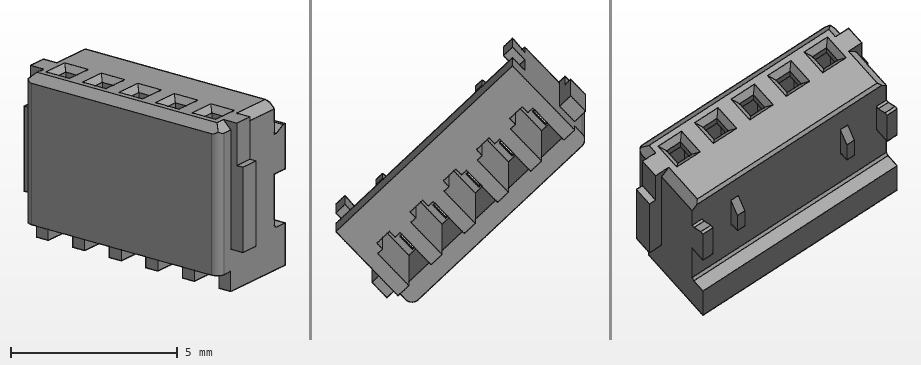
import cadquery as cq
import math

EPS = 0.04

body_width = 7.325
body_depth = 2.76
height = 5.49
top_chamfer = 0.27
back_top_chamfer = 0.1
corner_radius = 0.27
half_width = body_width / 2

front_step_depth = 0.59
front_step_height = 0.65

overall_depth = 3.3
foot_height = 1.37
root_chamfer = 0.08
latch_width = 0.38
latch_bottom = 3.11
latch_top = 4.57
latch_valley = 4.39
latch_tip = 0.11
latch_valley_width = 0.1

cavity_count = 5
cavity_pitch = 1.38
cavity_y = 0.92
bore_x = 0.52
bore_y = 0.55
mouth_x = 0.88
mouth_y = 0.92
mouth_depth = 0.2
bore_length = 0.27
chamber_width = 0.92
chamber_back = 1.945
groove_depth = 0.25
chamber_top = height - mouth_depth - bore_length

catch_spacing = 3 * cavity_pitch
catch_width = 0.28
catch_depth = 0.33
catch_slope = math.radians(53)

rail_depth = 0.65
rail_half_span = 4.12
rail_neck_half_span = 3.89
rail_bottom = foot_height
rail_shoulder = 4.12


def box(x_min, x_max, y_min, y_max, z_min, z_max):
    """Block between the given limits on each axis."""
    return (
        cq.Workplane("XY")
        .box(x_max - x_min, y_max - y_min, z_max - z_min, centered=False)
        .translate((x_min, y_min, z_min))
    )


def side_profile(points, x_center, width):
    """Extrude a (Y, Z) outline along X, centred on x_center."""
    profile = cq.Workplane("YZ").polyline(points).close()
    return profile.extrude(width / 2, both=True).translate((x_center, 0, 0))


def make_body():
    """Block with rounded front corners and a mitred top edge."""
    rounded = box(-half_width, half_width, 0, body_depth, 0, height)
    rounded = rounded.edges("|Z and <Y").fillet(corner_radius)
    bevelled = box(-half_width, half_width, 0, body_depth, 0, height)
    bevelled = bevelled.faces(">Z").edges(">Y").chamfer(back_top_chamfer)
    bevelled = bevelled.faces(">Z").edges("<X or >X or <Y").chamfer(top_chamfer)
    step = box(-half_width - EPS, half_width + EPS, -EPS, front_step_depth, -EPS, front_step_height)
    return rounded.intersect(bevelled).cut(step)


def make_foot():
    """Full-width foot behind the body, with a bevel where it meets the back wall."""
    points = [
        (body_depth - EPS, 0),
        (overall_depth, 0),
        (overall_depth, foot_height),
        (body_depth + root_chamfer, foot_height),
        (body_depth, foot_height + root_chamfer),
        (body_depth - EPS, foot_height + root_chamfer),
    ]
    return side_profile(points, 0, body_width)


def make_latch(side):
    """Hooked block at one end of the back wall."""
    points = [
        (body_depth - EPS, latch_bottom),
        (overall_depth, latch_bottom),
        (overall_depth, latch_top),
        (overall_depth - latch_tip, latch_top),
        (body_depth + latch_valley_width, latch_valley),
        (body_depth - EPS, latch_valley),
    ]
    return side_profile(points, side * (half_width - latch_width / 2), latch_width)


def make_catch(side):
    """Small rib on the back wall with a sloping top and a bevelled root below."""
    tip_y = body_depth + catch_depth
    points = [
        (body_depth - EPS, latch_bottom - root_chamfer),
        (body_depth, latch_bottom - root_chamfer),
        (body_depth + root_chamfer, latch_bottom),
        (tip_y, latch_bottom),
        (tip_y, latch_valley - catch_depth * math.tan(catch_slope)),
        (body_depth, latch_valley),
        (body_depth - EPS, latch_valley),
    ]
    return side_profile(points, side * catch_spacing / 2, catch_width)


def make_rails():
    """Rails on both ends; their narrower necks run up to the top face."""
    y_min = cavity_y - rail_depth / 2
    y_max = cavity_y + rail_depth / 2
    rails = cq.Workplane("XY")
    for side in (-1, 1):
        inner = side * (half_width - top_chamfer)
        for half_span, z_max in ((rail_half_span, rail_shoulder), (rail_neck_half_span, height)):
            x_min, x_max = sorted((inner, side * half_span))
            rails = rails.add(box(x_min, x_max, y_min, y_max, rail_bottom, z_max))
    return rails.combine()


def make_cavity(x_center):
    """Tapered mouth and short bore over a wide chamber, open below, with a groove in its back wall."""
    mouth = (
        cq.Workplane("XY", origin=(x_center, cavity_y, height))
        .rect(mouth_x, mouth_y)
        .workplane(offset=-mouth_depth)
        .rect(bore_x, bore_y)
        .loft(ruled=True)
    )
    bore = box(
        x_center - bore_x / 2, x_center + bore_x / 2,
        cavity_y - bore_y / 2, cavity_y + bore_y / 2,
        chamber_top - EPS, height,
    )
    chamber = box(
        x_center - chamber_width / 2, x_center + chamber_width / 2,
        front_step_depth, chamber_back,
        -EPS, chamber_top,
    )
    groove = box(
        x_center - bore_x / 2, x_center + bore_x / 2,
        chamber_back - EPS, chamber_back + groove_depth,
        -EPS, chamber_top,
    )
    return mouth.union(bore).union(chamber).union(groove)


result = make_body().union(make_foot()).union(make_rails())
for end in (-1, 1):
    result = result.union(make_latch(end)).union(make_catch(end))
for index in range(cavity_count):
    cavity_x = (index - (cavity_count - 1) / 2) * cavity_pitch
    result = result.cut(make_cavity(cavity_x))